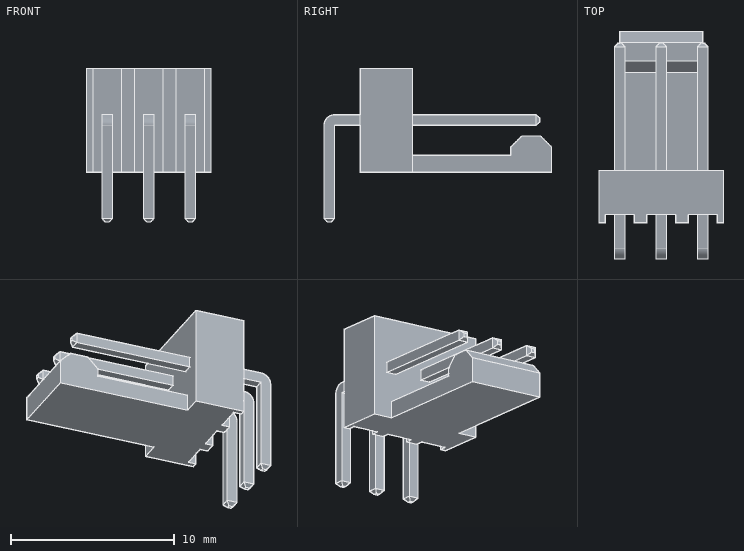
import cadquery as cq

pin_count = 3
pitch = 2.54

body_depth = 3.2
body_height = 6.35
body_width = pin_count * pitch

groove_width = 1.75
groove_depth = 0.5

beam_length = 8.5
beam_thickness = 1.05
beam_width = (pin_count - 1) * pitch

latch_length = 2.5
latch_height = 1.18
latch_chamfer = 0.68

pin_size = 0.66
pin_axis_height = 3.2
pin_rear_reach = 2.22
pin_tip_setback = 0.72
pin_tail_drop = 3.04
tip_length = 0.23
tip_inset = 0.21

beam_end = body_depth + beam_length
pin_rear = -pin_rear_reach
pin_front = beam_end - pin_tip_setback
pin_top = pin_axis_height + pin_size / 2
pin_positions = [(index - (pin_count - 1) / 2) * pitch for index in range(pin_count)]


def box(width, y_start, y_end, z_start, z_end):
    """Block centred on X = 0 between the given Y and Z limits."""
    return cq.Workplane("XY").box(
        width, y_end - y_start, z_end - z_start, centered=(True, False, False)
    ).translate((0, y_start, z_start))


def make_latch():
    """Locking ridge across the end of the beam, with both top edges chamfered."""
    ridge = box(
        beam_width,
        beam_end - latch_length,
        beam_end,
        beam_thickness,
        beam_thickness + latch_height,
    )
    return ridge.faces(">Z").edges("|X").chamfer(latch_chamfer)


def make_housing():
    """Body with a rear groove and a square hole for each pin, plus the latching beam."""
    body = box(body_width, 0, body_depth, 0, body_height)
    groove = box(groove_width, 0, groove_depth, 0, body_height)
    pin_hole = box(pin_size, 0, body_depth, pin_top - pin_size, pin_top)
    for x in pin_positions:
        body = body.cut(groove.translate((x, 0, 0)))
        body = body.cut(pin_hole.translate((x, 0, 0)))
    beam = box(beam_width, body_depth, beam_end, 0, beam_thickness)
    return body.union(beam).union(make_latch())


def make_tip(base_center, direction):
    """Square pyramid frustum that tapers from the end of a pin leg."""
    base = cq.Plane(origin=base_center, xDir=(1, 0, 0), normal=direction)
    end_size = pin_size - 2 * tip_inset
    return (
        cq.Workplane(base)
        .rect(pin_size, pin_size)
        .workplane(offset=tip_length)
        .rect(end_size, end_size)
        .loft(ruled=True)
    )


def make_pin(x):
    """Right-angle square pin with a rounded outer bend and tapered tips."""
    leg_front = pin_front - tip_length
    leg_bottom = -pin_tail_drop + tip_length
    leg = box(pin_size, pin_rear, leg_front, pin_top - pin_size, pin_top)
    tail = box(pin_size, pin_rear, pin_rear + pin_size, leg_bottom, pin_top)
    bend_blank = box(pin_size, pin_rear, pin_rear + pin_size, pin_top - pin_size, pin_top)
    bend_cylinder = (
        cq.Workplane("YZ")
        .center(pin_rear + pin_size, pin_top - pin_size)
        .circle(pin_size)
        .extrude(pin_size / 2, both=True)
    )
    pin = leg.union(tail).cut(bend_blank.cut(bend_cylinder))
    front_tip = make_tip((0, leg_front, pin_axis_height), (0, 1, 0))
    tail_tip = make_tip((0, pin_rear + pin_size / 2, leg_bottom), (0, 0, -1))
    return pin.union(front_tip).union(tail_tip).translate((x, 0, 0))


housing = make_housing()
pins = [make_pin(x) for x in pin_positions]

result = cq.Compound.makeCompound([housing.val(), *[pin.val() for pin in pins]])